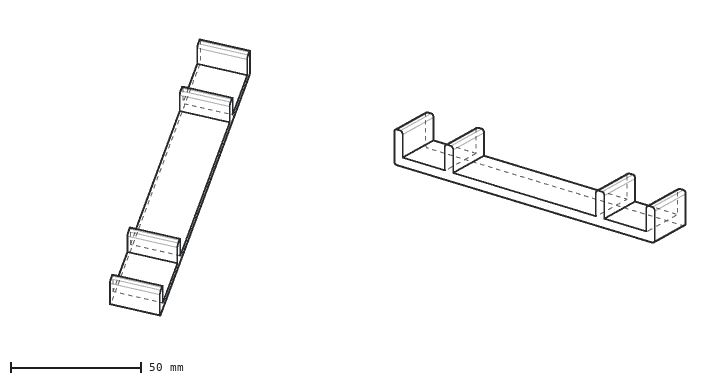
import cadquery as cq

length = 124.0
width = 20.0
height = 15.0
floor_thickness = 4.0
wall_thickness = 4.0
end_bay = 20.1
edge_radius = 1.2

end_wall_y = (length - wall_thickness) / 2
inner_wall_y = end_wall_y - wall_thickness - end_bay


def box_on_ground(size_y, size_z, center_y=0):
    """Box spanning the full width and standing on Z = 0."""
    return cq.Workplane("XY").center(0, center_y).box(
        width, size_y, size_z, centered=(True, True, False)
    )


def wall(center_y):
    """Upright wall with both top edges rounded."""
    return box_on_ground(wall_thickness, height, center_y).edges("|X and >Z").fillet(edge_radius)


body = box_on_ground(length, floor_thickness)
for center_y in (-end_wall_y, -inner_wall_y, inner_wall_y, end_wall_y):
    body = body.union(wall(center_y))

result = body.edges("|X and <Z").fillet(edge_radius)